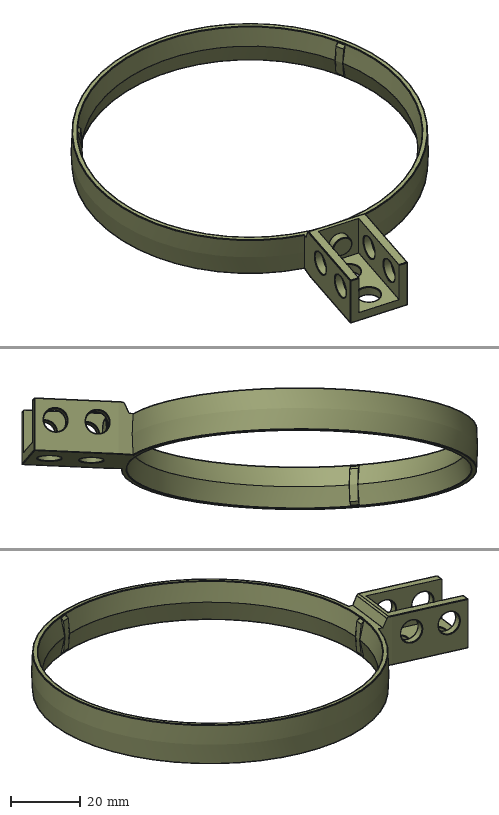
import cadquery as cq

edge_bevel = 0.2
total_length = 131.2

ring_height = 12.3
ring_middle = ring_height / 2
ring_radius = 51.6
outer_taper = 0.3
rim_outer_radius = ring_radius - outer_taper
rim_inner_radius = 49.7
ridge_inner_radius = 48.4

rib_count = 3
rib_width = 2.6
rib_ridge_radius = 48.3
rib_end_radius = 48.8
rib_end_height = 1.3
rib_root_radius = 50.1

fork_start = 50.1
fork_end = total_length - ring_radius
fork_height = 15.6
fork_width = 18.6
root_width = 17.8
gap_width = 13.1
gap_start = 54.7
floor_thickness = 3.0

shoulder_start = 51.7
shoulder_end = 53.0
shoulder_bevel = 0.5

hole_diameter = 7.0
hole_spacing = 12.3
hole_end_distance = 6.3
hole_z = 9.3
hole_places = [fork_end - hole_end_distance - hole_spacing, fork_end - hole_end_distance]

stud_diameter = 6.3
stud_length = 2.5


def make_ring():
    """Ring with a slightly crowned outside, a pointed inner ridge and bevelled rims."""
    upper = ring_height - edge_bevel
    top_outer_radius = rim_outer_radius - edge_bevel
    top_inner_radius = rim_inner_radius + edge_bevel
    return (
        cq.Workplane("XZ")
        .moveTo(top_inner_radius, 0)
        .lineTo(top_outer_radius, 0)
        .lineTo(rim_outer_radius, edge_bevel)
        .lineTo(ring_radius, ring_middle)
        .lineTo(rim_outer_radius, upper)
        .lineTo(top_outer_radius, ring_height)
        .lineTo(top_inner_radius, ring_height)
        .lineTo(rim_inner_radius, upper)
        .lineTo(ridge_inner_radius, ring_middle)
        .lineTo(rim_inner_radius, edge_bevel)
        .close()
        .revolve(360, (0, 0, 0), (0, 1, 0))
    )


def make_rib(angle):
    """Upright rib with sloped ends, turned to its place around the ring."""
    return (
        cq.Workplane("XZ")
        .moveTo(rib_root_radius, 0)
        .lineTo(rib_root_radius, ring_height)
        .lineTo(rib_end_radius, ring_height - rib_end_height)
        .lineTo(rib_ridge_radius, ring_middle)
        .lineTo(rib_end_radius, rib_end_height)
        .close()
        .extrude(rib_width / 2, both=True)
        .rotate((0, 0, 0), (0, 0, 1), angle)
    )


def make_fork_block():
    """Solid fork: side profile trimmed by a plan outline that tapers towards the ring."""
    profile = (
        cq.Workplane("XZ")
        .moveTo(fork_start, 0)
        .lineTo(fork_end, 0)
        .lineTo(fork_end, fork_height)
        .lineTo(shoulder_end + shoulder_bevel, fork_height)
        .lineTo(shoulder_end, fork_height - shoulder_bevel)
        .lineTo(shoulder_start, ring_height)
        .lineTo(fork_start, ring_height)
        .close()
        .extrude(fork_width / 2, both=True)
    )
    plan = (
        cq.Workplane("XY")
        .moveTo(fork_start, -root_width / 2)
        .lineTo(gap_start, -fork_width / 2)
        .lineTo(fork_end, -fork_width / 2)
        .lineTo(fork_end, fork_width / 2)
        .lineTo(gap_start, fork_width / 2)
        .lineTo(fork_start, root_width / 2)
        .close()
        .extrude(fork_height)
    )
    block = profile.intersect(plan)
    return block.faces("<Y or >Y or >X").edges().chamfer(edge_bevel)


def make_gap():
    """Open slot between the two lugs, above the floor."""
    return (
        cq.Workplane("XY", origin=(gap_start, 0, floor_thickness))
        .box(fork_end - gap_start, gap_width, fork_height, centered=(False, True, False))
    )


def make_holes():
    """Holes across both lugs and, at the same X, down through the floor."""
    across = (
        cq.Workplane("XZ")
        .pushPoints([(x, hole_z) for x in hole_places])
        .circle(hole_diameter / 2)
        .extrude(fork_width, both=True)
    )
    down = (
        cq.Workplane("XY")
        .pushPoints([(x, 0) for x in hole_places])
        .circle(hole_diameter / 2)
        .extrude(floor_thickness)
    )
    return across.union(down)


def make_stud():
    return (
        cq.Workplane("YZ", origin=(gap_start, 0, hole_z))
        .circle(stud_diameter / 2)
        .extrude(stud_length)
        .faces(">X")
        .edges()
        .chamfer(edge_bevel)
    )


fork = make_fork_block().cut(make_gap()).cut(make_holes())
fork = fork.edges("%CIRCLE").chamfer(edge_bevel)
fork = fork.union(make_stud())

result = make_ring().union(fork)
for i in range(rib_count):
    result = result.union(make_rib(i * 360 / rib_count))